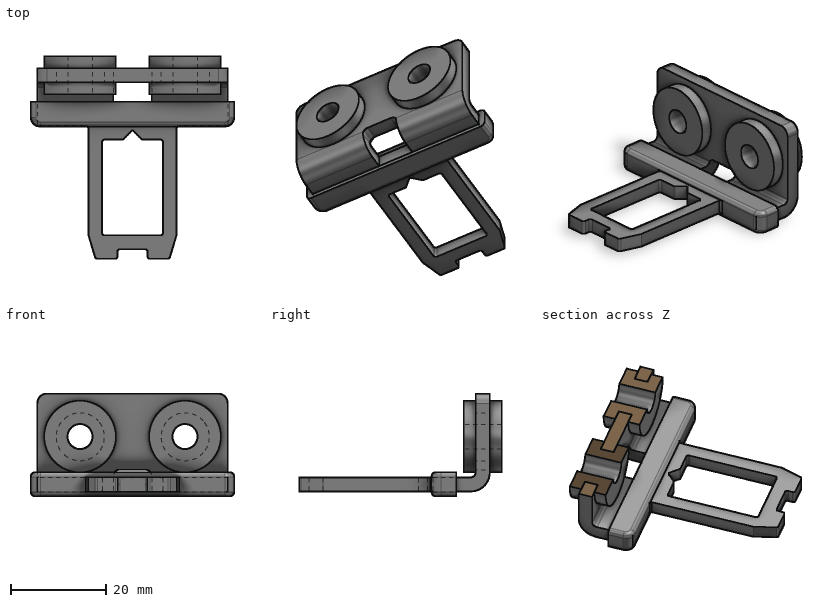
import cadquery as cq

plate_thickness = 3.0
bracket_width = 39.92
bracket_height = 20.55
bracket_length = 39.95
inner_bend_radius = 1.02
outer_bend_radius = inner_bend_radius + plate_thickness
wall_corner_radius = 2.0

collar_width = 42.7
collar_bottom_margin = 1.02
collar_top_margin = 1.1
collar_height = plate_thickness + collar_bottom_margin + collar_top_margin
collar_rear = -7.0
collar_depth = 5.25
collar_front = collar_rear - collar_depth
collar_corner_radius = 2.0
collar_edge_radius = 1.02

tongue_width = 18.5
taper_start = -35.0
taper_inset = 1.5
shoulder_recess = 0.3
shoulder_y = collar_front + shoulder_recess
root_chamfer = 0.55
small_radius = 0.5

edge_margin = 0.43

window_width = 12.72
window_rear = -15.0
window_front = -35.0
notch_depth = 2.0
notch_radius = 0.25

tip_slot_width = 6.28
tip_slot_depth = 2.0

bend_opening_width = 8.0
bend_opening_height = 4.55
bend_opening_radius = 1.3

bushing_spacing = 22.0
bushing_z = 11.55
flange_diameter = 15.05
flange_thickness = 2.5
sleeve_diameter = 10.08
bore_diameter = 5.2
bushing_places = [(-bushing_spacing / 2, bushing_z), (bushing_spacing / 2, bushing_z)]


def make_bent_plate():
    """L-shaped plate across the full width, running to the tip of the tongue."""
    half_width = bracket_width / 2
    return (
        cq.Workplane("YZ")
        .moveTo(0, bracket_height)
        .lineTo(0, outer_bend_radius)
        .radiusArc((-outer_bend_radius, 0), outer_bend_radius)
        .lineTo(-bracket_length, 0)
        .lineTo(-bracket_length, plate_thickness)
        .lineTo(-outer_bend_radius, plate_thickness)
        .radiusArc((-plate_thickness, outer_bend_radius), -inner_bend_radius)
        .lineTo(-plate_thickness, bracket_height)
        .close()
        .extrude(half_width, both=True)
        .edges("|Y and >Z")
        .fillet(wall_corner_radius)
    )


def make_plan_outline():
    """Bracket outline from above: wide floor, then the tapered tongue with its tip slot."""
    half_tongue = tongue_width / 2
    half_tip = half_tongue - taper_inset
    half_slot = tip_slot_width / 2
    slot_end = -bracket_length + tip_slot_depth
    right_side = [
        (bracket_width / 2, 0),
        (bracket_width / 2, shoulder_y),
        (half_tongue, shoulder_y),
        (half_tongue, taper_start),
        (half_tip, -bracket_length),
        (half_slot, -bracket_length),
        (half_slot, slot_end),
    ]
    left_side = [(-x, y) for x, y in reversed(right_side)]
    outline = cq.Workplane("XY").polyline(right_side + left_side).close().extrude(bracket_height)
    root_edges = cq.selectors.BoxSelector(
        (-half_tongue - edge_margin, shoulder_y - edge_margin, 0),
        (half_tongue + edge_margin, shoulder_y + edge_margin, bracket_height),
    )
    tip_edges = cq.selectors.BoxSelector(
        (-half_tongue, -bracket_length - edge_margin, 0),
        (half_tongue, slot_end + edge_margin, bracket_height),
    )
    outline = outline.edges("|Z").edges(root_edges).chamfer(root_chamfer)
    return outline.edges("|Z").edges(tip_edges).fillet(small_radius)


def make_window():
    """Cutter for the rounded window and its 45 degree V notch."""
    half_window = window_width / 2
    window = (
        cq.Workplane("XY")
        .polyline([
            (-half_window, window_front),
            (half_window, window_front),
            (half_window, window_rear),
            (notch_depth, window_rear),
            (0, window_rear + notch_depth),
            (-notch_depth, window_rear),
            (-half_window, window_rear),
        ])
        .close()
        .extrude(plate_thickness)
    )
    notch_edges = cq.selectors.BoxSelector(
        (-half_window / 2, window_rear - edge_margin, 0),
        (half_window / 2, window_rear + notch_depth + edge_margin, plate_thickness),
    )
    window = window.edges("|Z").edges(notch_edges).fillet(notch_radius)
    return window.edges("|Z and (<X or >X)").fillet(small_radius)


def make_bend_opening():
    """Cutter for the opening through the bend, from the rear face to the collar."""
    return (
        cq.Workplane("XY")
        .box(bend_opening_width, -collar_rear, bend_opening_height, centered=(True, False, False))
        .translate((0, collar_rear, 0))
        .edges("|Y and >Z")
        .fillet(bend_opening_radius)
    )


def make_bracket():
    bracket = make_bent_plate().intersect(make_plan_outline())
    bracket = bracket.cut(make_window()).cut(make_bend_opening())
    sleeve_holes = (
        cq.Workplane("XZ").pushPoints(bushing_places).circle(sleeve_diameter / 2).extrude(plate_thickness)
    )
    return bracket.cut(sleeve_holes)


def make_collar(bracket):
    """Rounded block fitted to the bracket, with a shallow mouth around the root of the tongue."""
    block = (
        cq.Workplane("XY")
        .box(collar_width, collar_depth, collar_height, centered=(True, False, False))
        .translate((0, collar_front, -collar_bottom_margin))
        .edges("|Z and <Y")
        .fillet(collar_corner_radius)
    )
    block = block.faces(">Z or <Z").edges("not >Y").fillet(collar_edge_radius)
    mouth = (
        cq.Workplane("XY")
        .box(tongue_width + 2 * root_chamfer, shoulder_recess, plate_thickness, centered=(True, False, False))
        .translate((0, collar_front, 0))
    )
    return block.cut(mouth).cut(bracket)


def make_bushing(x, z):
    """Sleeve through the wall with a flange against each face and a through bore."""
    rear = cq.Workplane("XZ", origin=(x, flange_thickness, z))
    flange = rear.circle(flange_diameter / 2).extrude(flange_thickness)
    front_flange = flange.translate((0, -plate_thickness - flange_thickness, 0))
    total_length = plate_thickness + 2 * flange_thickness
    sleeve = rear.circle(sleeve_diameter / 2).extrude(total_length)
    bore = rear.circle(bore_diameter / 2).extrude(total_length)
    return flange.union(sleeve).union(front_flange).cut(bore)


bracket = make_bracket()
collar = make_collar(bracket)
bushings = [make_bushing(x, z) for x, z in bushing_places]

result = cq.Compound.makeCompound([
    bracket.val(),
    collar.val(),
    *[bushing.val() for bushing in bushings],
])